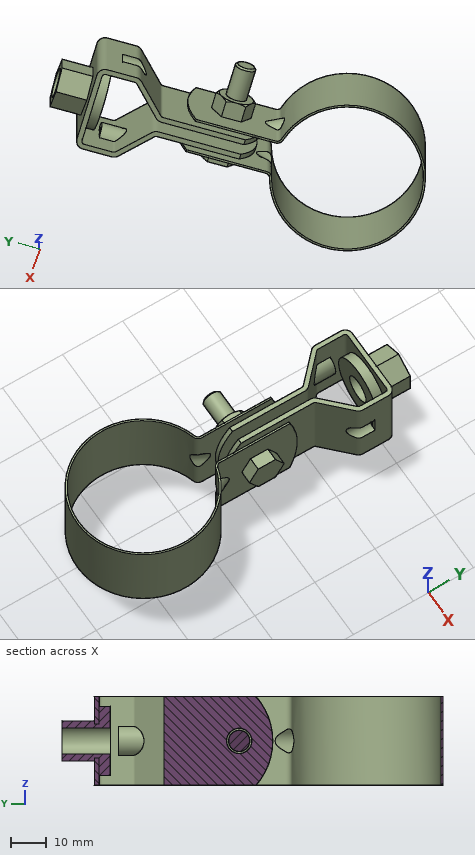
import cadquery as cq
import math


width = 25.0

band_thickness = 0.6
band_radius = 21.9
ear_half_gap = 4.45
ear_outer = ear_half_gap + band_thickness
ear_tip_y = 48.1
ear_tip_radius = 33.5
ear_bend_radius = 1.3

bead_radius = 4.25
bead_flank_angle = 36.0
bead_flank_length = 3.0
bead_tilt = 27.0
bead_start_y = 25.45
bead_run = 7.0
bead_overrun = 4.0

plate = 1.5
saddle_half = 12.4
leg_outer = 3.0
saddle_top_y = 76.1
saddle_bend_y = 64.25
leg_bend_y = 55.15
leg_tip_y = 25.95
leg_tip_radius = 18.8
top_bend_radius = 2.4
saddle_bend_radius = 2.5
leg_bend_radius = 1.0

tab_radius = 2.85
tab_top_y = 69.3
tab_length = 11.0

bolt_y = 35.4
bolt_diameter = 6.0
bolt_tip_diameter = 4.92
bolt_length = 25.0
bolt_hole = 7.0
hex_flats = 10.0
hex_corners = hex_flats / math.cos(math.pi / 6)
head_height = 4.0
nut_height = 5.1
nut_chamfer_angle = 30.0

connector_corners = 14.0
connector_length = 9.0
stem_diameter = 10.5
connector_bore = 8.5
flange_diameter = 20.0
flange_thickness = 3.1


def x_cylinder(radius, y, x_start, x_end):
    return (cq.Workplane("YZ").workplane(offset=x_start).center(y, 0)
            .circle(radius).extrude(x_end - x_start))


def y_cylinder(diameter, y_start, y_end, x=0):
    return (cq.Workplane("XZ").workplane(offset=-y_end).center(x, 0)
            .circle(diameter / 2).extrude(y_end - y_start))


def tip_corners(tip_y, radius, direction):
    """Waste that leaves a tip rounded about X, the tip pointing along Y in direction."""
    block_length = radius - math.sqrt(radius ** 2 - (width / 2) ** 2)
    block = (cq.Workplane("XY").box(2 * saddle_half, block_length, width)
             .translate((0, tip_y - direction * block_length / 2, 0)))
    return block.cut(x_cylinder(radius, tip_y - direction * radius, -saddle_half, saddle_half))


def bead(inset, side):
    """Round-crested ridge crossing the bend, its skin moved inward by inset."""
    angle = math.radians(bead_flank_angle)
    tilt = math.radians(bead_tilt)
    radius = bead_radius - inset
    arc_half = radius * math.sin(angle)
    arc_height = radius * math.cos(angle)
    foot_half = arc_half + bead_flank_length * math.cos(angle)
    foot_height = arc_height - bead_flank_length * math.sin(angle)
    crest = cq.Vector(side * ear_outer, bead_start_y, 0)
    outward = cq.Vector(side * math.cos(tilt), math.sin(tilt), 0)
    along = cq.Vector(side * math.sin(tilt), -math.cos(tilt), 0)
    origin = crest - outward * bead_radius - along * bead_overrun
    section = cq.Plane(origin=origin, xDir=outward, normal=along)
    return (cq.Workplane(section)
            .moveTo(foot_height, -foot_half)
            .lineTo(arc_height, -arc_half)
            .threePointArc((radius, 0), (arc_height, arc_half))
            .lineTo(foot_height, foot_half)
            .close().extrude(bead_overrun + bead_run))


def band_blank(inset, ear_end_y):
    """Solid keyhole with beads, bounded by the band's skin moved inward by inset."""
    ring = band_radius - inset
    half = ear_outer - inset
    bend = ear_bend_radius + inset
    bend_x = half + bend
    bend_y = math.sqrt((ring + bend) ** 2 - bend_x ** 2)
    ring_share = ring / (ring + bend)
    ring_x = bend_x * ring_share
    ring_y = bend_y * ring_share
    ring_angle = math.pi + math.atan2(bend_y, bend_x)
    mid_angle = (math.pi + ring_angle) / 2
    mid_x = bend_x + bend * math.cos(mid_angle)
    mid_y = bend_y + bend * math.sin(mid_angle)
    blank = (cq.Workplane("XY").workplane(offset=-width / 2)
             .moveTo(-half, ear_end_y).lineTo(-half, bend_y)
             .threePointArc((-mid_x, mid_y), (-ring_x, ring_y))
             .threePointArc((0, -ring), (ring_x, ring_y))
             .threePointArc((mid_x, mid_y), (half, bend_y))
             .lineTo(half, ear_end_y)
             .close().extrude(width))
    for side in (-1, 1):
        blank = blank.union(bead(inset, side))
    return blank


def make_band():
    band = band_blank(0, ear_tip_y).cut(band_blank(band_thickness, ear_tip_y))
    band = band.cut(tip_corners(ear_tip_y, ear_tip_radius, 1))
    return band.cut(x_cylinder(bolt_hole / 2, bolt_y, -ear_outer, ear_outer))


def saddle_blank(inset, leg_end_y):
    """Solid saddle and leg outline, bounded by the bracket's skin moved inward by inset."""
    slope = math.atan2(saddle_half - leg_outer, saddle_bend_y - leg_bend_y)
    shift = inset * math.tan(slope / 2)
    side_x = saddle_half - inset
    leg_x = leg_outer - inset
    top_y = saddle_top_y - inset
    side_y = saddle_bend_y + shift
    leg_y = leg_bend_y + shift
    half = [(leg_x, leg_end_y), (leg_x, leg_y), (side_x, side_y), (side_x, top_y)]
    mirrored = [(-x, y) for x, y in reversed(half)]
    blank = (cq.Workplane("XY").workplane(offset=-width / 2)
             .polyline(half + mirrored).close().extrude(width))
    bends = [(side_x, top_y, top_bend_radius - inset),
             (side_x, side_y, saddle_bend_radius - inset),
             (leg_x, leg_y, leg_bend_radius + inset)]
    for x, y, radius in bends:
        for side in (-1, 1):
            corner = cq.selectors.NearestToPointSelector((side * x, y, 0))
            blank = blank.edges("|Z").edges(corner).fillet(radius)
    return blank


def make_bracket():
    outside = saddle_blank(0, leg_tip_y)
    bracket = outside.cut(saddle_blank(plate, leg_tip_y))
    for side in (-1, 1):
        x = side * saddle_half
        tab = y_cylinder(2 * (tab_radius + plate), tab_top_y - tab_length, tab_top_y, x)
        groove = y_cylinder(2 * tab_radius, tab_top_y - tab_length, tab_top_y, x)
        bracket = bracket.union(tab.intersect(outside)).cut(groove)
    bracket = bracket.cut(tip_corners(leg_tip_y, leg_tip_radius, -1))
    bracket = bracket.cut(x_cylinder(bolt_hole / 2, bolt_y, -leg_outer, leg_outer))
    return bracket.cut(y_cylinder(stem_diameter, saddle_top_y - plate, saddle_top_y))


def make_bolt():
    tip_x = ear_outer - bolt_length
    shank = (x_cylinder(bolt_diameter / 2, bolt_y, tip_x, ear_outer)
             .faces("<X").chamfer((bolt_diameter - bolt_tip_diameter) / 2))
    head = (cq.Workplane("YZ").workplane(offset=ear_outer).center(bolt_y, 0)
            .polygon(6, hex_corners).extrude(head_height))
    return shank.union(head)


def make_nut():
    blank = (cq.Workplane("YZ").workplane(offset=-ear_outer).center(bolt_y, 0)
             .polygon(6, hex_corners).extrude(-nut_height))
    chamfer_width = (hex_corners - hex_flats) / 2
    chamfer_depth = chamfer_width * math.tan(math.radians(nut_chamfer_angle))
    envelope = (x_cylinder(hex_corners / 2, bolt_y, -ear_outer - nut_height, -ear_outer)
                .faces("<X").chamfer(chamfer_depth, chamfer_width))
    bore = x_cylinder(bolt_diameter / 2, bolt_y, -ear_outer - nut_height, -ear_outer)
    return blank.intersect(envelope).cut(bore)


def make_connector():
    end_y = saddle_top_y + connector_length
    inside_y = saddle_top_y - plate
    face_y = inside_y - flange_thickness
    hexagon = (cq.Workplane("XZ").workplane(offset=-end_y).transformed(rotate=(0, 0, 90))
               .polygon(6, connector_corners).extrude(connector_length))
    stem = y_cylinder(stem_diameter, inside_y, saddle_top_y)
    flange = y_cylinder(flange_diameter, face_y, inside_y)
    return hexagon.union(stem).union(flange).cut(y_cylinder(connector_bore, face_y, end_y))


band = make_band()
bracket = make_bracket()
bolt = make_bolt()
nut = make_nut()
connector = make_connector()

result = cq.Compound.makeCompound([
    band.val(),
    bracket.val(),
    bolt.val(),
    nut.val(),
    connector.val(),
])